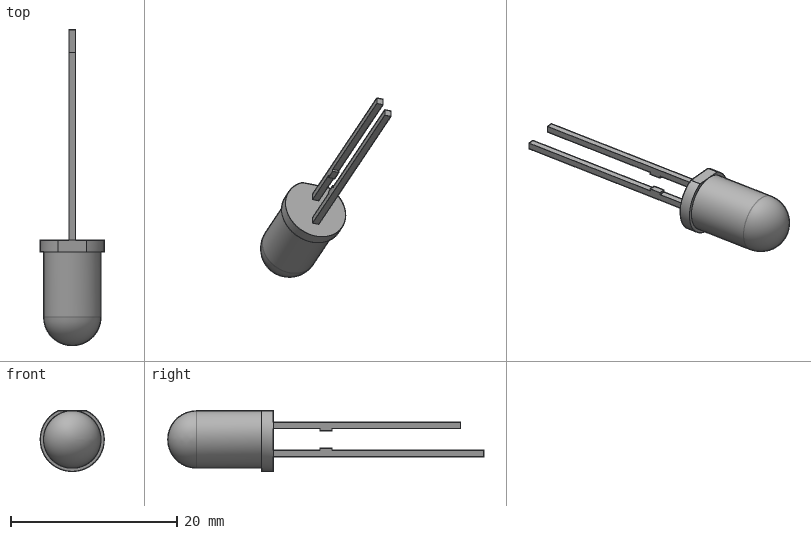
import cadquery as cq

total_length = 38.0

lens_length = 12.7
barrel_radius = 3.45
flange_radius = 7.7 / 2
flange_thickness = 1.4
flat_height = barrel_radius

lead_size = 0.8
lead_spacing = 3.4
long_lead_length = total_length - lens_length
short_lead_length = long_lead_length - 2.77

stop_length = 1.5
stop_height = 0.25
stop_distance = 6.35


def make_lens():
    """Domed barrel with a flange that is cut flat on its upper side."""
    dome_start = barrel_radius - lens_length
    dome_middle = barrel_radius * 0.5**0.5
    barrel = (
        cq.Workplane("XY")
        .moveTo(0, 0)
        .lineTo(barrel_radius, 0)
        .lineTo(barrel_radius, dome_start)
        .threePointArc((dome_middle, dome_start - dome_middle), (0, -lens_length))
        .close()
        .revolve(360, (0, 0, 0), (0, 1, 0))
    )
    flange = cq.Workplane("XZ").circle(flange_radius).extrude(flange_thickness)
    flat_cutter = (
        cq.Workplane("XY")
        .workplane(offset=flat_height)
        .rect(2 * flange_radius, 2 * flange_thickness)
        .extrude(flange_radius)
    )
    return barrel.union(flange.cut(flat_cutter))


def make_lead(length, side):
    """Square lead above (side = 1) or below (side = -1) the axis, its stop facing the axis."""
    lead_center = side * lead_spacing / 2
    inner_face = lead_center - side * lead_size / 2
    stop_top = inner_face - side * stop_height
    outer_face = lead_center + side * lead_size / 2
    stop_start = stop_distance - stop_length / 2
    stop_end = stop_distance + stop_length / 2
    profile = [
        (0, outer_face),
        (length, outer_face),
        (length, inner_face),
        (stop_end, inner_face),
        (stop_end, stop_top),
        (stop_start, stop_top),
        (stop_start, inner_face),
        (0, inner_face),
    ]
    return cq.Workplane("YZ").polyline(profile).close().extrude(lead_size / 2, both=True)


lens = make_lens()
leads = [
    make_lead(length, side)
    for length, side in ((short_lead_length, 1), (long_lead_length, -1))
]

result = cq.Compound.makeCompound([lens.val(), *[lead.val() for lead in leads]])